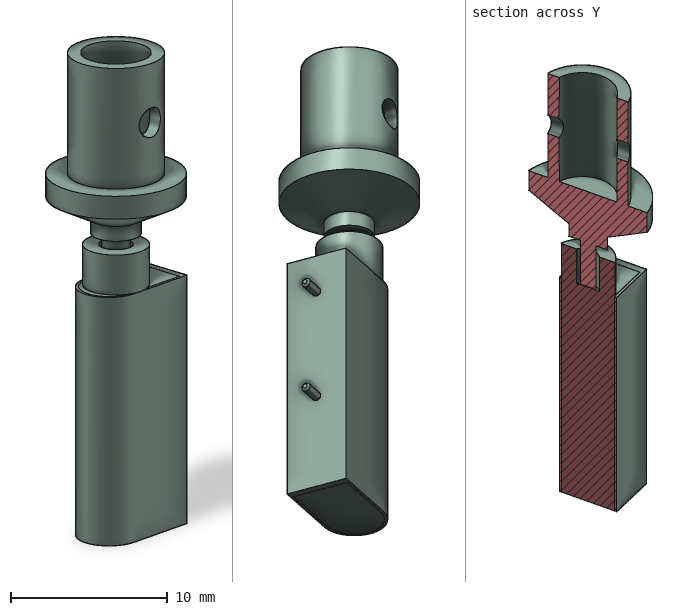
import cadquery as cq

housing_height = 16.8
collar_height = 2.7
neck_height = 0.75
ring_height = 1.0
cone_height = 1.5
flange_height = 1.55
tube_height = 8.15

collar_top = housing_height + collar_height
ring_bottom = collar_top + neck_height
cone_bottom = ring_bottom + ring_height
flange_bottom = cone_bottom + cone_height
flange_top = flange_bottom + flange_height

tube_diameter = 6.2
bore_diameter = 4.5
flange_diameter = 9.0
ring_diameter = 3.25
neck_diameter = 1.85
cross_hole_diameter = 2.0
cross_hole_below_top = 4.0

housing_width = 4.29
housing_back = 4.35
housing_arc_center = -0.65
cavity_width = 3.9
back_wall = 0.5
collar_diameter = housing_width
collar_hole_diameter = 2.2
collar_hole_depth = collar_height

pin_diameter = 0.6
pin_length = 1.55
pin_chamfer = 0.15
lower_pin_z = 6.55
pin_pitch = 7.62
pin_count = 2


def cylinder(diameter, bottom, height):
    """Upright cylinder on the Z axis."""
    return cq.Workplane("XY").workplane(offset=bottom).circle(diameter / 2).extrude(height)


def rounded_front_block(width, back):
    """Full-height block with a flat back and a half-round front."""
    half = width / 2
    return (
        cq.Workplane("XY")
        .moveTo(half, back)
        .lineTo(-half, back)
        .lineTo(-half, housing_arc_center)
        .threePointArc((0, housing_arc_center - half), (half, housing_arc_center))
        .close()
        .extrude(housing_height)
    )


def make_cap():
    """Tube, flange, cone, ring and neck turned as one piece, with a blind bore and a cross hole."""
    tube_top = flange_top + tube_height
    neck_bottom = collar_top - collar_hole_depth
    profile = [
        (0, neck_bottom),
        (neck_diameter / 2, neck_bottom),
        (neck_diameter / 2, ring_bottom),
        (ring_diameter / 2, ring_bottom),
        (ring_diameter / 2, cone_bottom),
        (flange_diameter / 2, flange_bottom),
        (flange_diameter / 2, flange_top),
        (tube_diameter / 2, flange_top),
        (tube_diameter / 2, tube_top),
        (bore_diameter / 2, tube_top),
        (bore_diameter / 2, flange_top),
        (0, flange_top),
    ]
    turned = cq.Workplane("XZ").polyline(profile).close().revolve(360, (0, 0), (0, 1))
    cross_hole = (
        cq.Workplane("YZ")
        .center(0, tube_top - cross_hole_below_top)
        .circle(cross_hole_diameter / 2)
        .extrude(tube_diameter, both=True)
    )
    return turned.cut(cross_hole)


def make_cavity_block():
    """Space inside the housing walls."""
    return rounded_front_block(cavity_width, housing_back - back_wall)


def make_housing():
    """Sleeve open at both ends."""
    return rounded_front_block(housing_width, housing_back).cut(make_cavity_block())


def make_core():
    """Filling of the housing, flush with its rim, carrying the round collar and its blind hole."""
    collar = cylinder(collar_diameter, housing_height, collar_height)
    neck_hole = cylinder(collar_hole_diameter, collar_top - collar_hole_depth, collar_hole_depth)
    return make_cavity_block().union(collar).cut(neck_hole)


def make_pin(z):
    """Pin pointing along +Y with a chamfered tip."""
    return (
        cq.Workplane("XZ", origin=(0, housing_back, z))
        .circle(pin_diameter / 2)
        .extrude(-pin_length)
        .faces(">Y")
        .chamfer(pin_chamfer)
    )


cap = make_cap()
housing = make_housing()
core = make_core()
pins = [make_pin(lower_pin_z + i * pin_pitch) for i in range(pin_count)]

result = cq.Compound.makeCompound(
    [cap.val(), housing.val(), core.val(), *[pin.val() for pin in pins]]
)